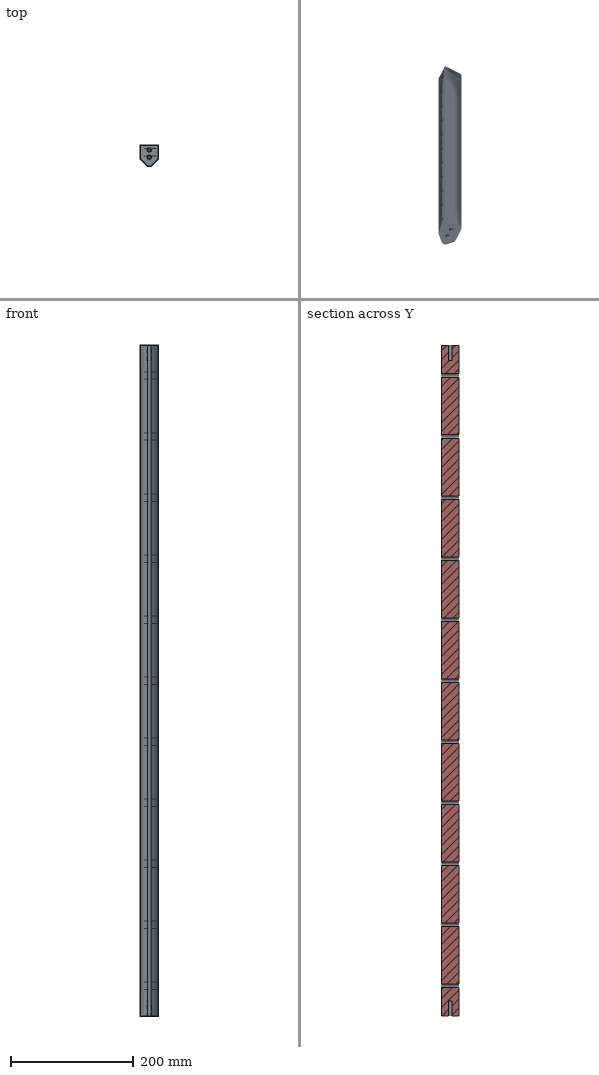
import cadquery as cq

width = 30.0
depth = 35.0
length = 1100.0
nose_width = 6.0

cross_hole_diameter = 12.0
cross_hole_from_back = 12.0
cross_hole_pitch = 100.0
cross_hole_count = 11

end_hole_diameter = 6.8
end_hole_depth = 25.0
end_holes_from_back = (8.0, 20.0)

back_y = depth / 2
nose_y = -depth / 2
shoulder_y = nose_y + (width - nose_width) / 2


def make_bar():
    """Flat back, straight sides and a nose narrowed by 45 degree faces to a flat tip."""
    outline = [
        (-width / 2, back_y),
        (width / 2, back_y),
        (width / 2, shoulder_y),
        (nose_width / 2, nose_y),
        (-nose_width / 2, nose_y),
        (-width / 2, shoulder_y),
    ]
    return cq.Workplane("XY").workplane(offset=-length / 2).polyline(outline).close().extrude(length)


def make_cross_holes():
    """Row of through holes across the width, evenly spaced and centred on the length."""
    return (
        cq.Workplane("YZ")
        .workplane(offset=-width / 2)
        .center(back_y - cross_hole_from_back, 0)
        .rarray(1, cross_hole_pitch, 1, cross_hole_count)
        .circle(cross_hole_diameter / 2)
        .extrude(width)
    )


def make_end_holes():
    """Blind holes bored into both end faces on the plane of symmetry."""
    centres = [(0, back_y - distance) for distance in end_holes_from_back]
    top = (
        cq.Workplane("XY")
        .workplane(offset=length / 2 - end_hole_depth)
        .pushPoints(centres)
        .circle(end_hole_diameter / 2)
        .extrude(end_hole_depth)
    )
    return top.union(top.mirror("XY"))


result = make_bar().cut(make_cross_holes()).cut(make_end_holes())